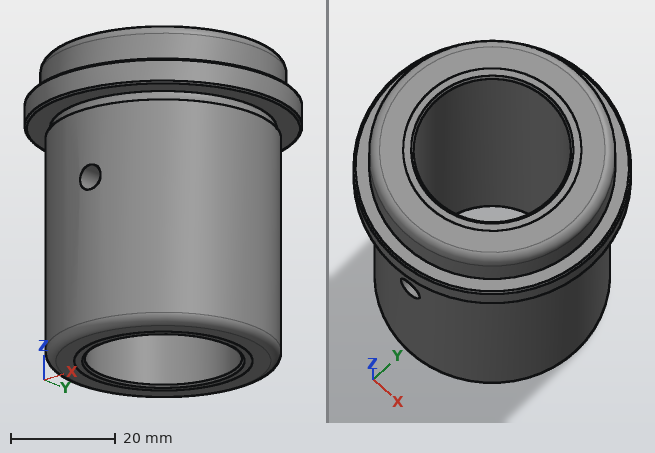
import cadquery as cq

total_height = 60.0
bore_diameter = 30.0
liner_diameter = 34.0
barrel_diameter = 45.0
head_diameter = 47.0
flange_diameter = 53.0
flange_bottom = 47.0
flange_top = 52.0
flange_chamfer = 0.4
head_round = 2.0
barrel_round = 2.0
groove_height = 2.0
groove_depth = 0.85
liner_chamfer = 0.5
cross_hole_diameter = 5.0
cross_hole_height = 31.0

liner_radius = liner_diameter / 2
barrel_radius = barrel_diameter / 2
neck_radius = barrel_radius - groove_depth

flank_radius = (groove_height**2 + groove_depth**2) / (2 * groove_depth)


def cylinder(diameter, bottom, top):
    return cq.Workplane("XY").workplane(offset=bottom).circle(diameter / 2).extrude(top - bottom)


def make_relief_groove():
    """Ring removed from the barrel directly below the flange."""
    groove_bottom = flange_bottom - groove_height
    return (
        cq.Workplane("XZ")
        .moveTo(barrel_radius, groove_bottom)
        .radiusArc((neck_radius, flange_bottom), flank_radius)
        .lineTo(barrel_radius, flange_bottom)
        .close()
        .revolve(360, (0, 0, 0), (0, 1, 0))
    )


def make_cross_hole():
    """Radial hole through the -Y wall of the housing."""
    return (
        cq.Workplane("XZ")
        .center(0, cross_hole_height)
        .circle(cross_hole_diameter / 2)
        .extrude(barrel_diameter)
    )


def make_housing():
    barrel = cylinder(barrel_diameter, 0, flange_bottom).faces("<Z").edges().fillet(barrel_round)
    barrel = barrel.cut(make_relief_groove())
    flange = cylinder(flange_diameter, flange_bottom, flange_top).edges().chamfer(flange_chamfer)
    head = cylinder(head_diameter, flange_top, total_height).faces(">Z").edges().fillet(head_round)
    liner_seat = cylinder(liner_diameter, 0, total_height)
    return barrel.union(flange).union(head).cut(liner_seat).cut(make_cross_hole())


def make_liner():
    """Plain sleeve lining the housing, with chamfered bore ends."""
    sleeve = cq.Workplane("XY").circle(liner_radius).circle(bore_diameter / 2).extrude(total_height)
    bore_rims = sleeve.faces("<Z or >Z").edges(cq.selectors.RadiusNthSelector(0))
    return bore_rims.chamfer(liner_chamfer)


housing = make_housing()
liner = make_liner()

result = cq.Compound.makeCompound([housing.solids().val(), liner.solids().val()])